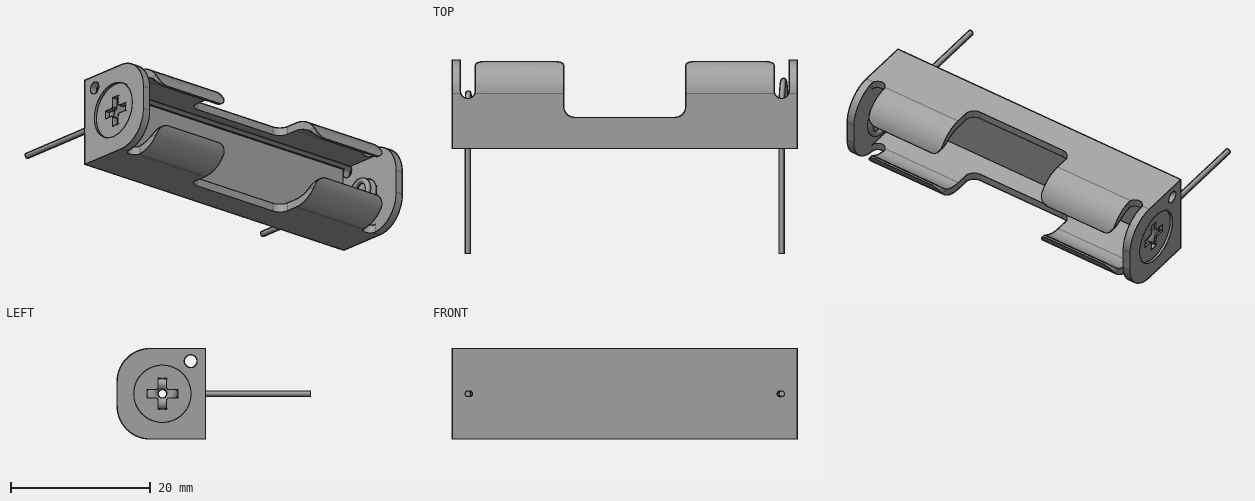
import cadquery as cq

length = 49.4
depth = 12.69
width = 13.0
shoulder_radius = 4.8
end_wall = 1.2
inner_length = length - 2 * end_wall

cavity_floor = 1.2
side_wall = 1.2
cavity_radius = width / 2 - side_wall
cavity_centre_y = 7.75
opening_width = 6.08

finger_notch_length = 17.4
finger_notch_floor = 4.5
notch_corner_radius = 1.5
lid_corner_radius = 1.5
relief_width = 2.1
relief_floor = 7.2

axis_y = 6.19
recess_diameter = 8.2
recess_depth = 0.4
cross_span = 4.4
cross_arm_width = 1.2
cross_centre_diameter = 2.0
wire_hole_diameter = 1.8
wire_hole_y = 2.14
wire_hole_z = width / 2 - 1.84

button_diameter = 4.4
button_bore = 1.2
button_thickness = 0.5

wire_diameter = 0.8
wire_radius = wire_diameter / 2
pin_inset = 2.25
pin_reach = 15.0
pin_x = length / 2 - pin_inset
pin_slot_length = 1.05
loop_radius = 1.7
loop_pitch = 0.3
loop_start = 0.1
loop_end = 1.0
spring_radius = 3.5
spring_inset = 2.3
spring_pitch = 1.3
spring_start = 0.25
spring_end = 1.0
near_half_middle = 0.75


def end_disc(diameter, x_start, thickness):
    """Disc on the cell axis, extending from x_start towards +X."""
    return (
        cq.Workplane("YZ", origin=(x_start, axis_y, 0))
        .circle(diameter / 2)
        .extrude(thickness)
    )


def make_body():
    """Solid block with the two edges on the open side rounded."""
    return (
        cq.Workplane("XY")
        .box(length, depth, width)
        .translate((0, depth / 2, 0))
        .edges("|X and >Y")
        .fillet(shoulder_radius)
    )


def make_cavity():
    return (
        cq.Workplane("YZ", origin=(-inner_length / 2, 0, 0))
        .moveTo(cavity_floor, -cavity_radius)
        .lineTo(cavity_centre_y, -cavity_radius)
        .threePointArc((cavity_centre_y + cavity_radius, 0), (cavity_centre_y, cavity_radius))
        .lineTo(cavity_floor, cavity_radius)
        .close()
        .extrude(inner_length)
    )


def make_finger_notch():
    return (
        cq.Workplane("XY")
        .box(finger_notch_length, depth, width)
        .edges("|Z and <Y")
        .fillet(notch_corner_radius)
        .translate((0, finger_notch_floor + depth / 2, 0))
    )


def make_relief(side):
    """Round-bottomed slot beside an end wall, across the full width."""
    relief_x = side * (inner_length - relief_width) / 2
    round_y = relief_floor + relief_width / 2
    bottom = (
        cq.Workplane("XY", origin=(relief_x, round_y, 0))
        .circle(relief_width / 2)
        .extrude(width / 2, both=True)
    )
    slot = (
        cq.Workplane("XY")
        .box(relief_width, depth, width)
        .translate((relief_x, round_y + depth / 2, 0))
    )
    return bottom.union(slot)


def make_opening():
    """Gap between the lids, widened around their rounded free corners."""
    reach = opening_width + 2 * lid_corner_radius
    gap = cq.Workplane("XY").box(inner_length, depth, reach)
    lid_length = (inner_length - finger_notch_length) / 2 - relief_width
    lid_x = (finger_notch_length + lid_length) / 2
    for x_side in (-1, 1):
        for z_side in (-1, 1):
            lid = (
                cq.Workplane("XY")
                .box(lid_length, depth, width)
                .edges("|Y")
                .fillet(lid_corner_radius)
                .translate((x_side * lid_x, 0, z_side * (opening_width + width) / 2))
            )
            gap = gap.cut(lid)
    return gap.translate((0, cavity_centre_y + depth / 2, 0))


def make_end_wall_cuts(side):
    """Shallow round recess with a cross-shaped opening through its floor."""
    start = side * length / 2
    cuts = end_disc(recess_diameter, start, -side * recess_depth)
    cuts = cuts.union(end_disc(cross_centre_diameter, start, -side * end_wall))
    for arm_size in ((cross_span, cross_arm_width), (cross_arm_width, cross_span)):
        arm = (
            cq.Workplane("YZ", origin=(start, axis_y, 0))
            .rect(*arm_size)
            .extrude(-side * end_wall)
        )
        cuts = cuts.union(arm)
    return cuts


def make_pin_slot(side):
    """Slot through the floor, longer than the pin on the side away from the end wall."""
    slot_x = side * (pin_x - (pin_slot_length - wire_diameter) / 2)
    return (
        cq.Workplane("XZ", origin=(slot_x, 0, 0))
        .slot2D(pin_slot_length, wire_diameter)
        .extrude(-cavity_floor)
    )


def make_housing():
    body = make_body().cut(make_cavity()).cut(make_opening()).cut(make_finger_notch())
    for side in (-1, 1):
        body = body.cut(make_relief(side)).cut(make_end_wall_cuts(side)).cut(make_pin_slot(side))
    wire_hole = (
        cq.Workplane("YZ", origin=(0, wire_hole_y, wire_hole_z))
        .circle(wire_hole_diameter / 2)
        .extrude(length / 2, both=True)
    )
    button_pocket = end_disc(button_diameter, -inner_length / 2, -button_thickness)
    return body.cut(wire_hole).cut(button_pocket)


def make_button():
    """Ring with a rounded outer face and a flat inner face."""
    bore_radius = button_bore / 2
    rim_radius = button_diameter / 2
    back_x = -inner_length / 2
    crown = (back_x - button_thickness, (bore_radius + rim_radius) / 2)
    ring = (
        cq.Workplane("XY")
        .moveTo(back_x, bore_radius)
        .threePointArc(crown, (back_x, rim_radius))
        .close()
        .revolve(360, (0, 0, 0), (1, 0, 0))
    )
    return ring.translate((0, axis_y, 0))


def make_coil(radius, pitch, start_turn, end_turn):
    """Helical wire around the cell axis, moving towards -X.

    Turns count from the -Y side, passing -Z, +Y and +Z; the middle of the +Z half lies at x = 0.
    """
    turns = end_turn - start_turn
    helix = cq.Wire.makeHelix(pitch, pitch * turns, radius, lefthand=True)
    start = cq.Workplane("XZ", origin=(radius, 0, 0)).circle(wire_radius)
    coil = start.sweep(cq.Workplane(obj=helix), isFrenet=True)
    coil = coil.rotate((0, 0, 0), (0, 1, 0), -90)
    coil = coil.rotate((0, 0, 0), (1, 0, 0), 90 + 360 * start_turn)
    return coil.translate((-pitch * (start_turn - near_half_middle), axis_y, 0))


def make_pin(side, coil_radius):
    """Straight terminal pin that ends against the underside of its coil."""
    top_y = axis_y - coil_radius - wire_radius
    return (
        cq.Workplane("XZ", origin=(side * pin_x, top_y, 0))
        .circle(wire_radius)
        .extrude(top_y + pin_reach)
    )


housing = make_housing()
button = make_button()
loop = make_coil(loop_radius, loop_pitch, loop_start, loop_end)
loop = loop.translate((-pin_x, 0, 0))
spring = make_coil(spring_radius, spring_pitch, spring_start, spring_end)
spring = spring.translate((length / 2 - spring_inset, 0, 0))
pins = [make_pin(side, radius) for side, radius in ((-1, loop_radius), (1, spring_radius))]

result = cq.Compound.makeCompound(
    [housing.val(), button.val(), loop.val(), spring.val(), *[pin.val() for pin in pins]]
)